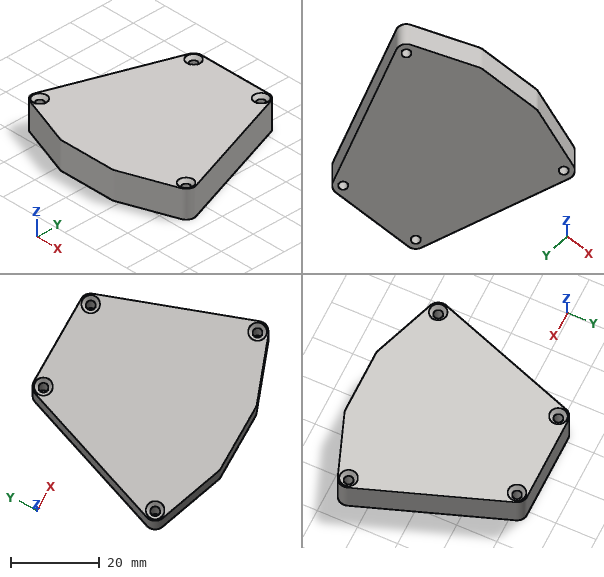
import cadquery as cq
import math

thickness = 8.4
overall_width = 52.32
overall_length = 46.62
corner_radius = 2.5
rear_hole_spacing = 21.84
front_facet_width = 16.0
facet_angle = 20.0
hole_diameter = 2.2
countersink_diameter = 4.2
countersink_angle = 90.0

rear_hole_x = rear_hole_spacing / 2
front_hole_x = overall_width / 2 - corner_radius
facet_corner_x = front_facet_width / 2
rear_hole_y = overall_length / 2 - corner_radius
facet_corner_y = -rear_hole_y
facet_rise = (front_hole_x - facet_corner_x) * math.tan(math.radians(facet_angle))
front_hole_y = facet_corner_y + facet_rise

hole_centres = [
    (-front_hole_x, front_hole_y),
    (-rear_hole_x, rear_hole_y),
    (rear_hole_x, rear_hole_y),
    (front_hole_x, front_hole_y),
]
facet_corners = [
    (facet_corner_x, facet_corner_y),
    (-facet_corner_x, facet_corner_y),
]


def make_plate():
    """Six-sided plate, offset outward so every corner is rounded about its centre."""
    return (
        cq.Workplane("XY")
        .polyline(hole_centres + facet_corners)
        .close()
        .offset2D(corner_radius, "arc")
        .extrude(thickness)
    )


def cut_screw_holes(plate):
    """Through holes countersunk from the top at the four outer corners."""
    return (
        plate.faces(">Z")
        .workplane(origin=(0, 0, thickness))
        .pushPoints(hole_centres)
        .cskHole(hole_diameter, countersink_diameter, countersink_angle)
    )


result = cut_screw_holes(make_plate())